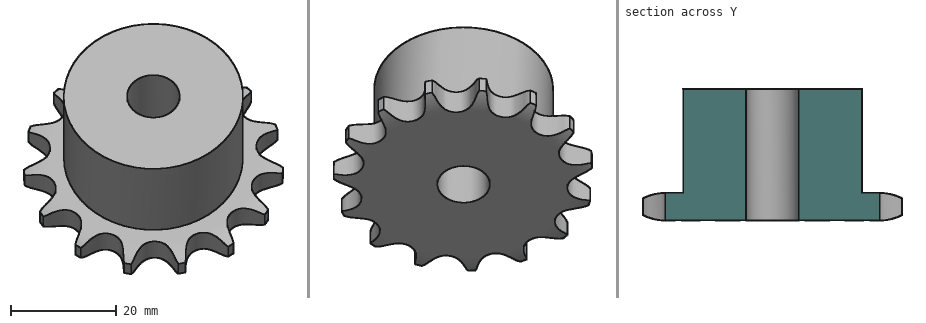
import cadquery as cq
import math

tooth_count = 15
chain_pitch = 9.55
tip_diameter = 49.3
rim_thickness = 5.3
seat_radius = 3.25
seat_half_angle = 51.0
working_radius = 8.3
working_sweep = 14.3
flank_flat_length = 0.7
topping_radius = 5.3
flat_face_radius = 20.2
side_round_radius = 10.05

hub_diameter = 34.0
bore_diameter = 10.0
total_height = 25.0

tooth_angle = 360.0 / tooth_count
pitch_radius = chain_pitch / (2 * math.sin(math.radians(tooth_angle / 2)))
tip_radius = tip_diameter / 2


def side_drop(radius):
    """Depth of the side rounding below the rim face at a given radius."""
    reach = radius - flat_face_radius
    return side_round_radius - math.sqrt(side_round_radius**2 - reach**2)


def make_rim_blank():
    """Revolved disc whose two faces curve towards each other at the tooth tips."""
    middle_radius = (flat_face_radius + tip_radius) / 2
    middle_drop = side_drop(middle_radius)
    tip_drop = side_drop(tip_radius)
    return (
        cq.Workplane("XZ")
        .lineTo(flat_face_radius, 0)
        .threePointArc((middle_radius, middle_drop), (tip_radius, tip_drop))
        .lineTo(tip_radius, rim_thickness - tip_drop)
        .threePointArc(
            (middle_radius, rim_thickness - middle_drop),
            (flat_face_radius, rim_thickness),
        )
        .lineTo(0, rim_thickness)
        .close()
        .revolve(360, (0, 0, 0), (0, 1, 0))
    )


def arc_point(centre, radius, angle):
    """Point on an arc; the angle in degrees turns from -Y towards +X."""
    turn = math.radians(angle)
    return (centre[0] + radius * math.sin(turn), centre[1] - radius * math.cos(turn))


def mirrored(point):
    """The same point on the other side of the gap centreline."""
    return (-point[0], point[1])


def make_tooth_gap():
    """Cutter for the gap centred on +Y, with every stretch tangent to the next."""
    flank_angle = seat_half_angle + working_sweep

    seat_centre = (0, pitch_radius)
    seat_bottom = arc_point(seat_centre, seat_radius, 0)
    seat_end = arc_point(seat_centre, seat_radius, seat_half_angle)

    working_centre = arc_point(seat_end, -working_radius, seat_half_angle)
    working_middle = arc_point(working_centre, working_radius, seat_half_angle + working_sweep / 2)
    working_end = arc_point(working_centre, working_radius, flank_angle)

    flat_end = arc_point(working_end, flank_flat_length, flank_angle + 90)

    topping_centre = arc_point(flat_end, topping_radius, flank_angle)
    top_angle = math.degrees(math.acos((tip_radius - topping_centre[1]) / topping_radius))
    topping_middle = arc_point(topping_centre, -topping_radius, (flank_angle + top_angle) / 2)
    gap_top = arc_point(topping_centre, -topping_radius, top_angle)

    return (
        cq.Workplane("XY")
        .moveTo(*mirrored(gap_top))
        .threePointArc(mirrored(topping_middle), mirrored(flat_end))
        .lineTo(*mirrored(working_end))
        .threePointArc(mirrored(working_middle), mirrored(seat_end))
        .threePointArc(seat_bottom, seat_end)
        .threePointArc(working_middle, working_end)
        .lineTo(*flat_end)
        .threePointArc(topping_middle, gap_top)
        .close()
        .extrude(rim_thickness)
    )


rim = make_rim_blank()
gap = make_tooth_gap()
for index in range(tooth_count):
    rim = rim.cut(gap.rotate((0, 0, 0), (0, 0, 1), index * tooth_angle))

hub = cq.Workplane("XY").circle(hub_diameter / 2).extrude(total_height)
bore = cq.Workplane("XY").circle(bore_diameter / 2).extrude(total_height)

result = rim.union(hub).cut(bore)